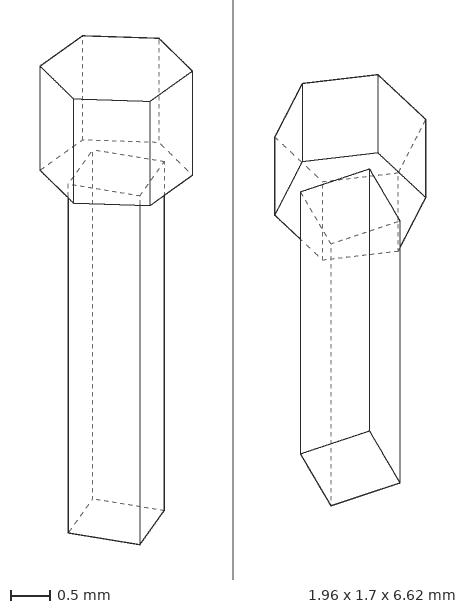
import cadquery as cq

total_height = 6.62
head_height = 1.52
head_across_corners = 1.96
post_across_corners = 1.37

post_height = total_height - head_height


def make_post():
    """Square post with its corners on the X and Y axes."""
    return (
        cq.Workplane("XY")
        .polygon(4, post_across_corners)
        .extrude(post_height)
    )


def make_head():
    """Hexagonal head resting on the post, with two corners on the X axis."""
    return (
        cq.Workplane("XY")
        .workplane(offset=post_height)
        .polygon(6, head_across_corners)
        .extrude(head_height)
    )


post = make_post()
head = make_head()

result = cq.Compound.makeCompound([post.val(), head.val()])